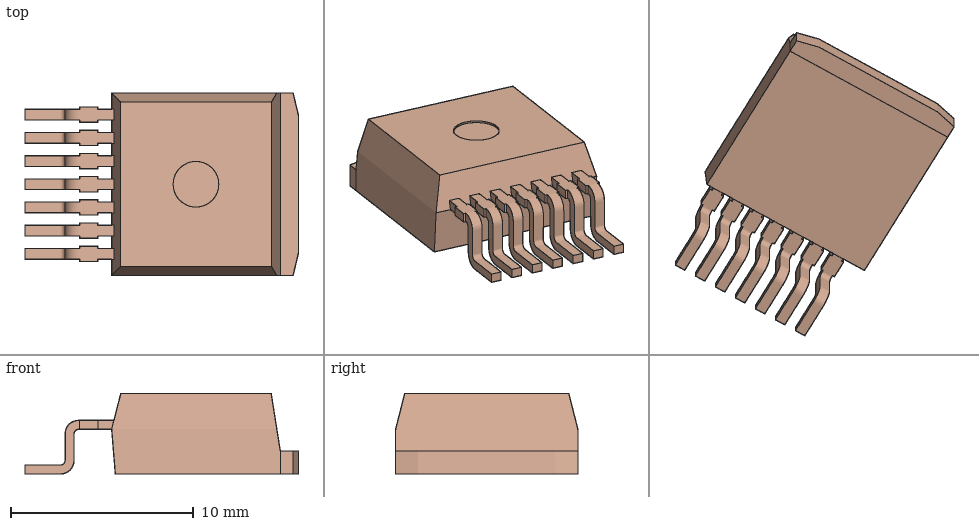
import cadquery as cq

overall_length = 15.0
body_width = 10.0
body_height = 4.42
parting_height = 2.45

body_front_bottom = 4.95
body_front_parting = 4.75
body_front_top = 5.25
body_back_top = 13.5
body_back_tab = 14.0
top_side_inset = 0.5

mark_diameter = 2.5
mark_depth = 0.1

tab_height = 1.27
tab_corner_length = 0.3
tab_end_width = 7.5

lead_count = 7
lead_pitch = 1.27
lead_width = 0.6
lead_thickness = 0.5
lead_riser_start = 2.2
bend_inner_radius = 0.25
bend_outer_radius = bend_inner_radius + lead_thickness
lead_top = parting_height + lead_thickness
shoulder_start = 3.0
shoulder_length = 1.0
shoulder_width = 0.85


def front_face_x(height):
    """X of the sloping front face of the upper body at a given height."""
    slope = (body_front_top - body_front_parting) / (body_height - parting_height)
    return body_front_parting + slope * (height - parting_height)


def make_body():
    """Lower block with a tapered upper block and a shallow round mark on top."""
    side_profile = [
        (body_front_bottom, 0),
        (body_front_parting, parting_height),
        (body_front_top, body_height),
        (body_back_top, body_height),
        (body_back_tab, tab_height),
        (body_back_tab, 0),
    ]
    side_shape = (
        cq.Workplane("XZ")
        .polyline(side_profile)
        .close()
        .extrude(body_width / 2, both=True)
    )

    half_width = body_width / 2
    half_top_width = half_width - top_side_inset
    end_profile = [
        (-half_width, 0),
        (-half_width, parting_height),
        (-half_top_width, body_height),
        (half_top_width, body_height),
        (half_width, parting_height),
        (half_width, 0),
    ]
    end_shape = cq.Workplane("YZ").polyline(end_profile).close().extrude(overall_length)

    mark_x = (body_front_top + body_back_top) / 2
    mark = (
        cq.Workplane("XY", origin=(mark_x, 0, body_height - mark_depth))
        .circle(mark_diameter / 2)
        .extrude(mark_depth)
    )
    return side_shape.intersect(end_shape).cut(mark)


def make_tab():
    """Flat tab behind the body, with its two outer corners cut at a slant."""
    corner_x = overall_length - tab_corner_length
    outline = [
        (body_back_tab, -body_width / 2),
        (corner_x, -body_width / 2),
        (overall_length, -tab_end_width / 2),
        (overall_length, tab_end_width / 2),
        (corner_x, body_width / 2),
        (body_back_tab, body_width / 2),
    ]
    return cq.Workplane("XY").polyline(outline).close().extrude(tab_height)


def make_lead(y):
    """Gull-wing lead with a wider shoulder, ending flush on the body's front face."""
    riser_end = lead_riser_start + lead_thickness
    lower_bend_x = lead_riser_start - bend_inner_radius
    upper_bend_x = riser_end + bend_inner_radius
    lower_bend_z = lead_thickness + bend_inner_radius
    upper_bend_z = parting_height - bend_inner_radius
    strip = (
        cq.Workplane("XZ", origin=(0, y, 0))
        .moveTo(0, 0)
        .lineTo(lower_bend_x, 0)
        .radiusArc((riser_end, lower_bend_z), -bend_outer_radius)
        .lineTo(riser_end, upper_bend_z)
        .radiusArc((upper_bend_x, parting_height), bend_inner_radius)
        .lineTo(front_face_x(parting_height), parting_height)
        .lineTo(front_face_x(lead_top), lead_top)
        .lineTo(upper_bend_x, lead_top)
        .radiusArc((lead_riser_start, upper_bend_z), -bend_outer_radius)
        .lineTo(lead_riser_start, lower_bend_z)
        .radiusArc((lower_bend_x, lead_thickness), bend_inner_radius)
        .lineTo(0, lead_thickness)
        .close()
        .extrude(lead_width / 2, both=True)
    )
    shoulder = cq.Workplane("XY").box(
        shoulder_length, shoulder_width, lead_thickness, centered=(False, True, False)
    )
    return strip.union(shoulder.translate((shoulder_start, y, parting_height)))


body = make_body()
tab = make_tab()
first_lead_y = -lead_pitch * (lead_count - 1) / 2
leads = [make_lead(first_lead_y + i * lead_pitch) for i in range(lead_count)]

result = cq.Compound.makeCompound([body.val(), tab.val(), *[lead.val() for lead in leads]])